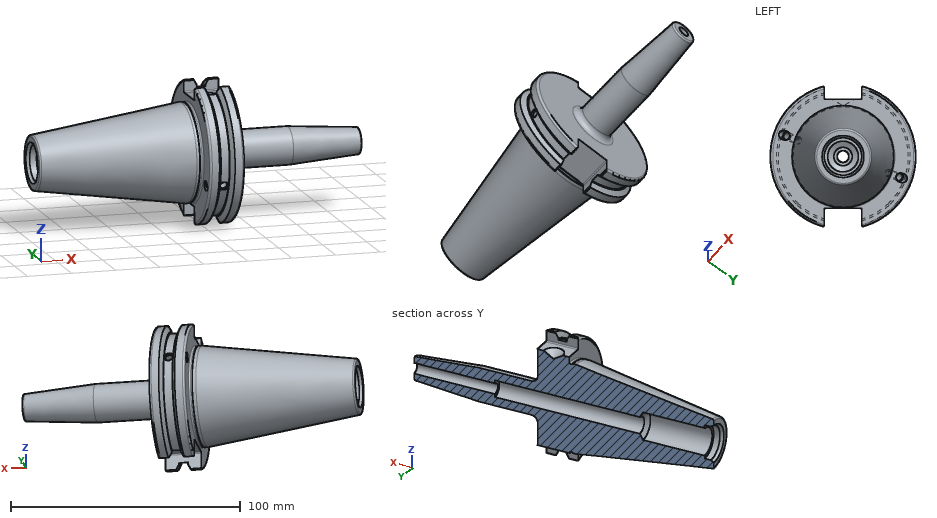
import math

import cadquery as cq


GAUGE_DIAMETER = 44.45
TAPER_RATIO = 7 / 24
TAPER_LENGTH = 68.25
TAPER_END_FILLET = 0.8
GAUGE_LAND_END = 1.6
NECK_DIAMETER = 43.6
NECK_FILLET = 0.7

FLANGE_START = 3.175
FLANGE_WIDTH = 15.875
FLANGE_DIAMETER = 63.5
FLANGE_FILLET = 1.0

GROOVE_CENTER = 11.1
GROOVE_DIAMETER = 56.6
GROOVE_MOUTH_WIDTH = 7.1
GROOVE_FLOOR_WIDTH = 4.0
GROOVE_WALL_ANGLE = 30

SLOT_WIDTH = 16.3
SLOT_CHAMFER = 0.51
SLOT_FLOOR_FILLET = 0.5
TOP_SLOT_FLOOR = 25.0
BOTTOM_SLOT_FLOOR = 22.6

DIMPLE_DIAMETER = 9.53
DIMPLE_ANGLE = 118

NOSE_LENGTH = 80.0
NOSE_DIAMETER = 17.0
NOSE_ROOT_FILLET = 3.0
NOSE_TIP_DIAMETER = 12.0
NOSE_CONE_LENGTH = 32.0
NOSE_TIP_FILLET = 0.8

MOUTH_DIAMETER = 18.3
MOUTH_CHAMFER_DEPTH = 1.4
PILOT_DIAMETER = 16.3
PILOT_DEPTH = 4.5
THREAD_DIAMETER = 13.39
THREAD_DEPTH = 35.0
DRILL_ANGLE = 118
CHANNEL_DIAMETER = 8.0
CHANNEL_END = 40.0
THROUGH_DIAMETER = 5.0

SCREW_DIAMETER = 4.0
DRILL_DIAMETER = 3.24
COOLANT_RADIUS = 27.2
COOLANT_TILT = 35
COOLANT_SCREW_DEPTH = 2.0
COOLANT_DRILL_DEPTH = 11.0
PLUG_SCREW_DEPTH = 1.0
PLUG_DRILL_DEPTH = 7.5
COOLANT_ANGLES = (20, 200)

FLANGE_END = FLANGE_START + FLANGE_WIDTH
FLANGE_RADIUS = FLANGE_DIAMETER / 2
OVERLAP = 5.0


def cone_height(large_diameter, small_diameter, included_angle):
    return (large_diameter - small_diameter) / 2 / math.tan(math.radians(included_angle / 2))


def revolve_profile(points):
    """Revolve an (axial position, radius) outline about the X axis."""
    return cq.Workplane("XY").polyline(points).close().revolve(360, (0, 0), (1, 0))


def make_shank():
    small_radius = (GAUGE_DIAMETER - TAPER_LENGTH * TAPER_RATIO) / 2
    gauge_radius = GAUGE_DIAMETER / 2
    taper = revolve_profile([
        (-TAPER_LENGTH, 0),
        (-TAPER_LENGTH, small_radius),
        (0, gauge_radius),
        (GAUGE_LAND_END, gauge_radius),
        (GAUGE_LAND_END, 0),
    ])
    return taper.faces("<X").edges().fillet(TAPER_END_FILLET)


def make_neck():
    radius = NECK_DIAMETER / 2
    fillet_start = FLANGE_START - NECK_FILLET
    fillet_offset = NECK_FILLET * (1 - math.sqrt(0.5))
    return (
        cq.Workplane("XY")
        .moveTo(0, 0)
        .lineTo(0, radius)
        .lineTo(fillet_start, radius)
        .threePointArc(
            (FLANGE_START - fillet_offset, radius + fillet_offset),
            (FLANGE_START, radius + NECK_FILLET),
        )
        .lineTo(FLANGE_START, 0)
        .close()
        .revolve(360, (0, 0), (1, 0))
    )


def make_flange():
    disc = cq.Workplane("YZ", origin=(FLANGE_START, 0, 0)).circle(FLANGE_RADIUS).extrude(FLANGE_WIDTH)
    disc = disc.faces("<X or >X").edges().fillet(FLANGE_FILLET)

    half_mouth = GROOVE_MOUTH_WIDTH / 2
    half_floor = GROOVE_FLOOR_WIDTH / 2
    wall_depth = (half_mouth - half_floor) / math.tan(math.radians(GROOVE_WALL_ANGLE))
    groove = revolve_profile([
        (GROOVE_CENTER - half_mouth, FLANGE_RADIUS + OVERLAP),
        (GROOVE_CENTER - half_mouth, FLANGE_RADIUS),
        (GROOVE_CENTER - half_floor, FLANGE_RADIUS - wall_depth),
        (GROOVE_CENTER - half_floor, GROOVE_DIAMETER / 2),
        (GROOVE_CENTER + half_floor, GROOVE_DIAMETER / 2),
        (GROOVE_CENTER + half_floor, FLANGE_RADIUS - wall_depth),
        (GROOVE_CENTER + half_mouth, FLANGE_RADIUS),
        (GROOVE_CENTER + half_mouth, FLANGE_RADIUS + OVERLAP),
    ])
    return disc.cut(groove)


def make_nose():
    radius = NOSE_DIAMETER / 2
    fillet_offset = NOSE_ROOT_FILLET * (1 - math.sqrt(0.5))
    nose = (
        cq.Workplane("XY")
        .moveTo(FLANGE_END, 0)
        .lineTo(FLANGE_END, radius + NOSE_ROOT_FILLET)
        .threePointArc(
            (FLANGE_END + fillet_offset, radius + fillet_offset),
            (FLANGE_END + NOSE_ROOT_FILLET, radius),
        )
        .lineTo(NOSE_LENGTH - NOSE_CONE_LENGTH, radius)
        .lineTo(NOSE_LENGTH, NOSE_TIP_DIAMETER / 2)
        .lineTo(NOSE_LENGTH, 0)
        .close()
        .revolve(360, (0, 0), (1, 0))
    )
    return nose.faces(">X").edges().fillet(NOSE_TIP_FILLET)


def make_slot(floor_height):
    """Slot cutter along X, open upwards, with rounded floor corners and flared outer edges."""
    half_width = SLOT_WIDTH / 2
    half_mouth = half_width + SLOT_CHAMFER
    mouth_height = math.sqrt(FLANGE_RADIUS**2 - half_mouth**2)
    top = FLANGE_RADIUS + OVERLAP
    flare = top - mouth_height
    slot = (
        cq.Workplane("YZ", origin=(FLANGE_START, 0, 0))
        .polyline([
            (-half_width, floor_height),
            (half_width, floor_height),
            (half_width, mouth_height - SLOT_CHAMFER),
            (half_mouth + flare, top),
            (-half_mouth - flare, top),
            (-half_width, mouth_height - SLOT_CHAMFER),
        ])
        .close()
        .extrude(FLANGE_WIDTH)
    )
    return slot.faces("<Z").edges("|X").fillet(SLOT_FLOOR_FILLET)


def make_dimple():
    depth = cone_height(DIMPLE_DIAMETER, 0, DIMPLE_ANGLE)
    center = (FLANGE_START + FLANGE_END) / 2
    return cq.Workplane(
        cq.Solid.makeCone(
            DIMPLE_DIAMETER / 2, 0, depth, cq.Vector(center, 0, TOP_SLOT_FLOOR), cq.Vector(0, 0, -1)
        )
    )


def make_bore():
    thread_end = THREAD_DEPTH - TAPER_LENGTH
    drill_tip_end = thread_end + cone_height(THREAD_DIAMETER, CHANNEL_DIAMETER, DRILL_ANGLE)
    return revolve_profile([
        (-TAPER_LENGTH, 0),
        (-TAPER_LENGTH, MOUTH_DIAMETER / 2),
        (MOUTH_CHAMFER_DEPTH - TAPER_LENGTH, PILOT_DIAMETER / 2),
        (PILOT_DEPTH - TAPER_LENGTH, PILOT_DIAMETER / 2),
        (PILOT_DEPTH - TAPER_LENGTH, THREAD_DIAMETER / 2),
        (thread_end, THREAD_DIAMETER / 2),
        (drill_tip_end, CHANNEL_DIAMETER / 2),
        (CHANNEL_END, CHANNEL_DIAMETER / 2),
        (CHANNEL_END, THROUGH_DIAMETER / 2),
        (NOSE_LENGTH, THROUGH_DIAMETER / 2),
        (NOSE_LENGTH, 0),
    ])


def make_screw_hole(opening, direction, screw_depth, drill_depth):
    """Stepped hole whose depths are measured from the opening along the direction."""
    start = opening - direction * OVERLAP
    mouth = cq.Solid.makeCylinder(SCREW_DIAMETER / 2, screw_depth + OVERLAP, start, direction)
    drill = cq.Solid.makeCylinder(DRILL_DIAMETER / 2, drill_depth, opening, direction)
    return cq.Workplane(mouth).union(cq.Workplane(drill))


def make_coolant_passage(angle):
    """Tilted hole from the flange face, met by a radial hole from the groove floor."""
    tilt = math.radians(COOLANT_TILT)
    tilted_hole = make_screw_hole(
        cq.Vector(FLANGE_START, COOLANT_RADIUS, 0),
        cq.Vector(math.cos(tilt), -math.sin(tilt), 0),
        COOLANT_SCREW_DEPTH,
        COOLANT_DRILL_DEPTH,
    )
    plug_hole = make_screw_hole(
        cq.Vector(GROOVE_CENTER, GROOVE_DIAMETER / 2, 0),
        cq.Vector(0, -1, 0),
        PLUG_SCREW_DEPTH,
        PLUG_DRILL_DEPTH,
    )
    return tilted_hole.union(plug_hole).rotate((0, 0, 0), (1, 0, 0), angle)


flange = make_flange()
flange = flange.cut(make_slot(TOP_SLOT_FLOOR))
flange = flange.cut(make_slot(BOTTOM_SLOT_FLOOR).rotate((0, 0, 0), (1, 0, 0), 180))
flange = flange.cut(make_dimple())
for coolant_angle in COOLANT_ANGLES:
    flange = flange.cut(make_coolant_passage(coolant_angle))

result = make_neck().union(make_shank()).union(flange).union(make_nose()).cut(make_bore())